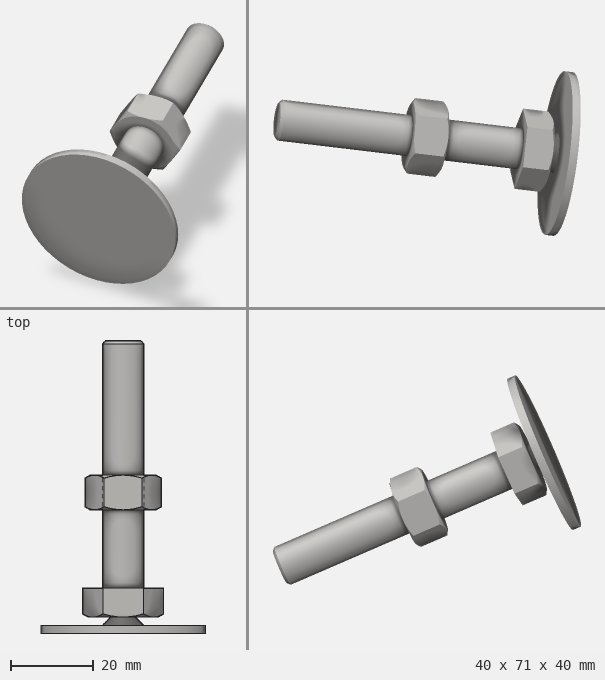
import cadquery as cq
import math


plate_diameter = 40.0
plate_thickness = 2.0

overall_length = 71.0
stud_diameter = 10.0
tip_chamfer = 0.75
collar_start = 4.0
collar_height = 7.0
collar_across_flats = 17.0
foot_height = collar_start - plate_thickness
foot_base_diameter = stud_diameter
foot_top_diameter = foot_base_diameter - 2 * foot_height

nut_start = 30.0
nut_height = 8.4
nut_across_flats = 16.0

hex_sides = 6
hex_chamfer_angle = 30.0


def along_y(start):
    """Workplane at Y = start with its normal along +Y and local X along global X."""
    return cq.Workplane(cq.Plane(origin=(0, start, 0), xDir=(1, 0, 0), normal=(0, 1, 0)))


def chamfered_hexagon(start, height, across_flats, chamfer_far_end):
    """Hexagonal prism with two corners on X, chamfered to the flats' circle at one or both ends."""
    flat_radius = across_flats / 2
    corner_radius = flat_radius / math.cos(math.pi / hex_sides)
    drop = (corner_radius - flat_radius) * math.tan(math.radians(hex_chamfer_angle))
    end = start + height

    prism = along_y(start).polygon(hex_sides, 2 * corner_radius).extrude(height)
    envelope = (
        cq.Workplane("XY")
        .moveTo(0, start)
        .lineTo(flat_radius, start)
        .lineTo(corner_radius, start + drop)
    )
    if chamfer_far_end:
        envelope = envelope.lineTo(corner_radius, end - drop).lineTo(flat_radius, end)
    else:
        envelope = envelope.lineTo(corner_radius, end)
    envelope = envelope.lineTo(0, end).close().revolve(360, (0, 0, 0), (0, 1, 0))
    return prism.intersect(envelope)


def make_base_plate():
    """Plain round plate."""
    return along_y(0).circle(plate_diameter / 2).extrude(plate_thickness)


def make_stud():
    """Round stud with a chamfered tip, in one piece with its collar and the foot that stands on the plate."""
    shank = (
        along_y(collar_start)
        .circle(stud_diameter / 2)
        .extrude(overall_length - collar_start)
        .faces(">Y")
        .chamfer(tip_chamfer)
    )
    collar = chamfered_hexagon(collar_start, collar_height, collar_across_flats, chamfer_far_end=False)
    foot = (
        cq.Workplane("XY")
        .moveTo(0, plate_thickness)
        .lineTo(foot_base_diameter / 2, plate_thickness)
        .lineTo(foot_top_diameter / 2, collar_start)
        .lineTo(0, collar_start)
        .close()
        .revolve(360, (0, 0, 0), (0, 1, 0))
    )
    return shank.union(collar).union(foot)


def make_lock_nut():
    """Hexagonal nut bored to fit the stud, chamfered at both ends."""
    blank = chamfered_hexagon(nut_start, nut_height, nut_across_flats, chamfer_far_end=True)
    bore = along_y(nut_start).circle(stud_diameter / 2).extrude(nut_height)
    return blank.cut(bore)


base_plate = make_base_plate()
stud = make_stud()
lock_nut = make_lock_nut()

result = cq.Compound.makeCompound([base_plate.val(), stud.val(), lock_nut.val()])